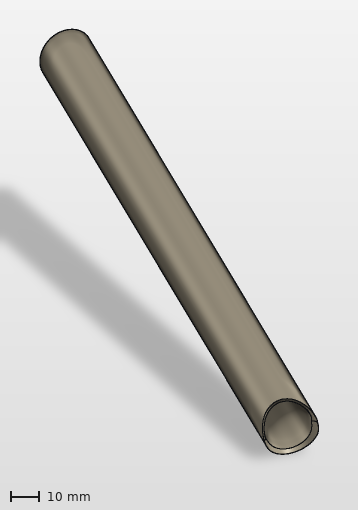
import cadquery as cq
import math

outer_diameter = 20.0
wall = 1.2
outer_radius = outer_diameter / 2
inner_radius = outer_radius - wall

slope_y = 0.239
slope_z = 0.204
axis = cq.Vector(1, -slope_y, -slope_z).normalized()

saddle_radius = 10.3
upper_distance = 254.0
lower_distance = 254.5
upper_roll = 20.4
lower_roll = 11.9
upper_tilt = 11.4
lower_tilt = -48.9

overrun = 24.5


def cylinder(radius, start, direction, length):
    return cq.Workplane(cq.Solid.makeCylinder(radius, length, start, direction))


def mitred_tube():
    """Tube cut at its start on the plane halfway between square and the X axis."""
    start = axis * -overrun
    length = upper_distance + overrun
    outside = cylinder(outer_radius, start, axis, length)
    bore = cylinder(inner_radius, start, axis, length)
    mitre_normal = axis + cq.Vector(1, 0, 0)
    waste = cylinder(2 * outer_diameter, cq.Vector(0, 0, 0), mitre_normal * -1, 2 * overrun)
    return outside.cut(bore).cut(waste)


def crossing_leg(distance, roll_degrees, tilt_degrees):
    """Solid round bar across the tube, rolled about the tube axis and tilted along it."""
    roll = math.radians(roll_degrees)
    tilt = math.radians(tilt_degrees)
    level = cq.Vector(0, 0, 1).cross(axis).normalized()
    upright = axis.cross(level)
    across = upright * math.cos(roll) - level * math.sin(roll)
    direction = across * math.cos(tilt) + axis * math.sin(tilt)
    crossing = axis * distance
    half_length = 3 * outer_diameter
    return cylinder(saddle_radius, crossing - direction * half_length, direction, 2 * half_length)


def saddle_cutter():
    """Outer side of the bend: the space shared by both crossing legs."""
    upper_leg = crossing_leg(upper_distance, upper_roll, upper_tilt)
    lower_leg = crossing_leg(lower_distance, lower_roll, lower_tilt)
    return upper_leg.intersect(lower_leg)


result = mitred_tube().cut(saddle_cutter())